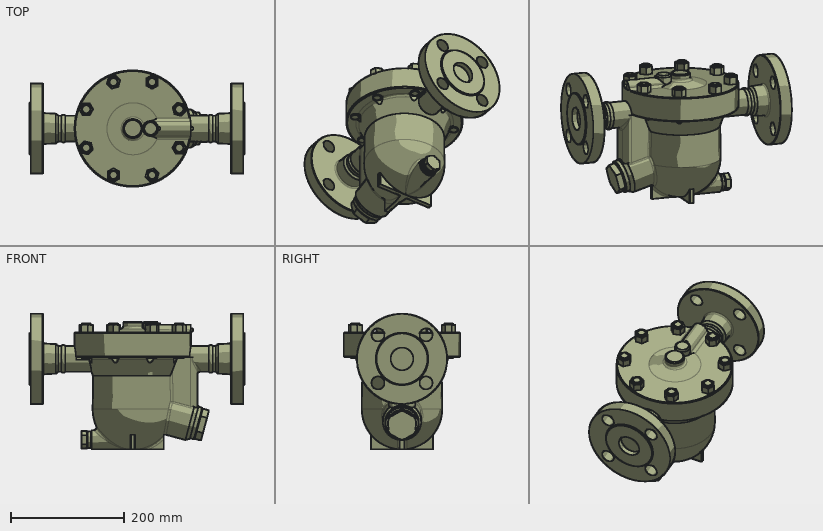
import cadquery as cq
import math


inlet_face_x = -182.5
face_to_face = 380.0
outlet_face_x = inlet_face_x + face_to_face
pipe_flange_diameter = 160.0
pipe_flange_thickness = 22.0
pipe_flange_chamfer = 1.0
raised_face_diameter = 93.0
raised_face_height = 2.0
raised_face_chamfer = 1.5
pipe_bolt_circle = 120.0
pipe_bolt_hole = 23.0
pipe_bolt_count = 4
bore_diameter = 40.0
bore_depth = 10.0
pipe_diameter = 46.0
hub_root_radius = 30.0
hub_radius = 27.5
hub_end_radius = 26.5
hub_fillet = hub_root_radius - hub_radius
hub_end_distance = 46.5
pipe_start_distance = 51.0
bead_start_distance = 56.5
bead_end_distance = 63.0
bead_diameter = 49.5

bowl_diameter = 143.0
base_z = -160.0
sphere_z = base_z + bowl_diameter / 2
neck_bottom_z = -30.0
neck_diameter = 141.0
neck_slope = 20.0
neck_fillet = 5.5
main_flange_diameter = 206.0
main_flange_bottom_z = 3.0
main_flange_chamfer = 2.0
joint_z = 27.0
cover_top_z = 47.0
cover_chamfer = 1.5
pad_end_x = -99.5
pad_half_width = 25.0
pad_bottom_z = -1.7

cover_bolt_circle = 178.0
cover_bolt_count = 8
stud_diameter = 16.0
stud_chamfer = 1.0
stud_top_z = 62.8
stud_bottom_z = 1.0
nut_flats = 21.0
nut_height = 13.2
nut_chamfer = 1.0
nut_turn = 22.5
spot_face_diameter = 20.0
spot_face_bottom_z = -12.0

dome_base_radius = 46.0
dome_top_radius = 21.0
dome_top_z = 53.3
knob_diameter = 34.0
knob_fillet = 5.0
knob_top_z = 66.0
knob_chamfer = 2.0
small_knob_x = 31.5
small_knob_radius = 13.4
small_knob_top_radius = 11.0
small_knob_chamfer_height = 3.0
duct_radius = 13.7
duct_fillet = 6.5
duct_end_x = 102.5
pin_diameter = 6.6
upright_pin_x = 45.2
upright_pin_top_z = 63.0
end_pin_z = 51.2

passage_end_x = 114.4
passage_half_width = 23.3
passage_corner_radius = 12.7
passage_bottom_z = -92.0
passage_pipe_fillet = 5.0
pipe_stub_end_x = 130.0
plug_tilt = 15.0
plug_axis_offset = 5.0
plug_boss_radius = 34.0
plug_boss_length = 104.0
plug_boss_side_fillet = 4.0
plug_boss_root_fillet = 5.0
plug_taper_radius = 30.0
plug_taper_end = 111.0
plug_collar_diameter = 58.0
plug_collar_end = 118.0
plug_neck_diameter = 50.0
plug_head_start = 119.5
plug_head_end = 131.0
plug_head_flats = 48.0
plug_head_chamfer = 1.5

drain_diameter = 34.0
drain_rise = 0.2
drain_z = base_z + drain_diameter / 2 + drain_rise
drain_end_x = -72.5
drain_fillet = 5.0
drain_collar_diameter = 30.0
drain_collar_start_x = -74.5
drain_collar_end_x = -79.5
drain_neck_diameter = 27.0
drain_head_start_x = -81.6
drain_head_end_x = -90.8
drain_head_flats = 27.0
drain_head_chamfer = 1.0

foot_reach = 55.0
foot_thickness = 8.0
foot_edge_chamfer = 1.0
foot_fillet = 5.0
foot_top_z = -131.0


def cylinder_z(diameter, bottom, top, x=0.0):
    return cq.Workplane("XY", origin=(x, 0, bottom)).circle(diameter / 2).extrude(top - bottom)


def hexagon_prism(flats, height, chamfer):
    """Hexagon standing on XY, with its upper corners turned off by a cone."""
    corners = flats * 2 / math.sqrt(3)
    prism = cq.Workplane("XY").polygon(6, corners).extrude(height)
    turned = cq.Workplane("XY").circle(corners / 2).extrude(height)
    turned = turned.faces(">Z").chamfer(chamfer * math.tan(math.radians(30)), chamfer)
    return prism.intersect(turned)


def pipe_end():
    """Flange, hub and pipe pointing along +X from a joint face at X = 0."""
    back = raised_face_height + pipe_flange_thickness
    flange_radius = pipe_flange_diameter / 2
    pipe_radius = pipe_diameter / 2
    bead_middle = (bead_start_distance + bead_end_distance) / 2
    profile = (
        cq.Workplane("XY")
        .lineTo(0, raised_face_diameter / 2 - raised_face_chamfer)
        .lineTo(raised_face_chamfer, raised_face_diameter / 2)
        .lineTo(raised_face_height, raised_face_diameter / 2)
        .lineTo(raised_face_height, flange_radius)
        .lineTo(back - pipe_flange_chamfer, flange_radius)
        .lineTo(back, flange_radius - pipe_flange_chamfer)
        .lineTo(back, hub_root_radius)
        .radiusArc((back + hub_fillet, hub_radius), -hub_fillet)
        .lineTo(hub_end_distance, hub_end_radius)
        .lineTo(pipe_start_distance, pipe_radius)
        .lineTo(bead_start_distance, pipe_radius)
        .threePointArc((bead_middle, bead_diameter / 2), (bead_end_distance, pipe_radius))
        .lineTo(-inlet_face_x, pipe_radius)
        .lineTo(-inlet_face_x, 0)
        .close()
    )
    body = profile.revolve(360, (0, 0, 0), (1, 0, 0))
    face = cq.Workplane("YZ")
    holes = (
        face.polarArray(pipe_bolt_circle / 2, 45, 360, pipe_bolt_count)
        .circle(pipe_bolt_hole / 2)
        .extrude(back)
    )
    bore = face.circle(bore_diameter / 2).extrude(bore_depth)
    return body.cut(holes).cut(bore)


def bowl():
    """Hemispherical bowl with a slightly drafted wall and a neck widening to the main flange."""
    radius = bowl_diameter / 2
    slope = math.radians(neck_slope)
    fillet_start_z = main_flange_bottom_z - neck_fillet * (1 - math.sin(slope))
    fillet_start_radius = neck_diameter / 2 + (fillet_start_z - neck_bottom_z) * math.tan(slope)
    fillet_end_radius = fillet_start_radius + neck_fillet * math.cos(slope)
    profile = (
        cq.Workplane("XZ")
        .moveTo(0, base_z)
        .threePointArc(
            (radius * math.sin(math.pi / 4), sphere_z - radius * math.cos(math.pi / 4)),
            (radius, sphere_z),
        )
        .lineTo(neck_diameter / 2, neck_bottom_z)
        .lineTo(fillet_start_radius, fillet_start_z)
        .radiusArc((fillet_end_radius, main_flange_bottom_z), neck_fillet)
        .lineTo(0, main_flange_bottom_z)
        .close()
    )
    return profile.revolve(360, (0, 0, 0), (0, 1, 0))


def add_drain_stub(vessel):
    stub = cq.Workplane("YZ", origin=(drain_end_x, 0, drain_z)).circle(drain_diameter / 2)
    vessel = vessel.union(stub.extrude(-drain_end_x))
    return vessel.edges("%BSPLINE").fillet(drain_fillet)


def drain_plug():
    plane = cq.Plane(origin=(0, 0, drain_z), xDir=(0, 0, 1), normal=(-1, 0, 0))
    neck = cq.Workplane(plane).circle(drain_neck_diameter / 2).extrude(-drain_head_start_x)
    collar = cq.Workplane(plane).workplane(offset=-drain_collar_start_x)
    collar = collar.circle(drain_collar_diameter / 2).extrude(drain_collar_start_x - drain_collar_end_x)
    head = hexagon_prism(drain_head_flats, drain_head_start_x - drain_head_end_x, drain_head_chamfer)
    head = head.rotate((0, 0, 0), (0, 1, 0), -90).translate((drain_head_start_x, 0, drain_z))
    return neck.union(collar).union(head)


def tilt_onto_plug_axis(shape):
    """Lay a shape built along +Z onto the plug axis, which dips towards +X."""
    dip = math.radians(plug_tilt)
    shift = (plug_axis_offset * math.sin(dip), 0, sphere_z + plug_axis_offset * math.cos(dip))
    return shape.rotate((0, 0, 0), (0, 1, 0), 90 + plug_tilt).translate(shift)


def plug_boss():
    profile = (
        cq.Workplane("XZ")
        .lineTo(plug_boss_radius, 0)
        .lineTo(plug_boss_radius, plug_boss_length)
        .lineTo(plug_taper_radius, plug_taper_end)
        .lineTo(0, plug_taper_end)
        .close()
    )
    return tilt_onto_plug_axis(profile.revolve(360, (0, 0, 0), (0, 1, 0)))


def plug():
    collar = cylinder_z(plug_collar_diameter, 0, plug_collar_end)
    neck = cylinder_z(plug_neck_diameter, 0, plug_head_start)
    head = hexagon_prism(plug_head_flats, plug_head_end - plug_head_start, plug_head_chamfer)
    head = head.translate((0, 0, plug_head_start))
    return tilt_onto_plug_axis(collar.union(neck).union(head))


def outlet_passage():
    """Upright passage below the outlet pipe, joined to the pipe and to the plug boss."""
    passage = (
        cq.Workplane("XY", origin=(passage_end_x / 2, 0, passage_bottom_z))
        .rect(passage_end_x, 2 * passage_half_width)
        .extrude(main_flange_bottom_z - passage_bottom_z)
        .edges("|Z and >X")
        .fillet(passage_corner_radius)
    )
    pipe = cq.Workplane("YZ").circle(pipe_diameter / 2).extrude(pipe_stub_end_x)
    passage = passage.union(pipe)
    passage = passage.edges("%BSPLINE").edges(">X").fillet(passage_pipe_fillet)
    passage = passage.union(plug_boss())
    boss_sides = cq.selectors.BoxSelector(
        (0, -pipe_diameter, passage_bottom_z - plug_boss_radius),
        (passage_end_x, pipe_diameter, neck_bottom_z),
    )
    dip = math.radians(plug_tilt)
    along_boss = cq.selectors.ParallelDirSelector(cq.Vector(math.cos(dip), 0, -math.sin(dip)))
    sides = passage.edges(boss_sides).edges(along_boss)
    return sides.edges("<Y or >Y").fillet(plug_boss_side_fillet)


def add_outlet_passage(vessel):
    vessel = vessel.union(outlet_passage())
    root = cq.selectors.BoxSelector(
        (bowl_diameter / 4, -plug_boss_radius, sphere_z - 2 * plug_boss_radius),
        (plug_boss_length - plug_boss_side_fillet, plug_boss_radius, sphere_z + plug_boss_radius),
    )
    return vessel.edges(root).edges("%BSPLINE").fillet(plug_boss_root_fillet)


def side_foot():
    """Foot towards +X with filleted flanks, together with the strip of bowl it is blended into."""
    overlap = foot_fillet * 2
    foot = (
        cq.Workplane("XY", origin=(foot_reach / 2, 0, base_z - overlap))
        .rect(foot_reach, foot_thickness)
        .extrude(foot_top_z - base_z + overlap)
    )
    blended = bowl().union(foot)
    flanks = cq.selectors.BoxSelector(
        (foot_thickness, -foot_thickness, base_z), (foot_reach, foot_thickness, foot_top_z)
    )
    blended = blended.edges(flanks).edges("%CIRCLE").fillet(foot_fillet)
    strip = cq.Workplane("XY", origin=(foot_reach / 2, 0, base_z))
    strip = strip.rect(foot_reach, foot_thickness + 4 * foot_fillet).extrude(foot_top_z - base_z)
    return blended.intersect(strip)


def feet_across():
    """One bar forming the feet towards +Y and -Y."""
    bar = cq.Workplane("XY", origin=(0, 0, base_z)).rect(foot_thickness, 2 * foot_reach)
    return bar.extrude(foot_top_z - base_z).edges("|Z").chamfer(foot_edge_chamfer)


def cover_and_flange():
    body_flange = cylinder_z(main_flange_diameter, main_flange_bottom_z, joint_z)
    body_flange = body_flange.faces("<Z").chamfer(main_flange_chamfer)
    cover = cylinder_z(main_flange_diameter, joint_z, cover_top_z).faces(">Z").chamfer(cover_chamfer)
    return body_flange.union(cover)


def dome_and_knob():
    radius = knob_diameter / 2
    profile = (
        cq.Workplane("XZ")
        .moveTo(0, joint_z)
        .lineTo(dome_base_radius, joint_z)
        .lineTo(dome_base_radius, cover_top_z)
        .lineTo(dome_top_radius, dome_top_z)
        .radiusArc((radius, dome_top_z + knob_fillet), knob_fillet)
        .lineTo(radius, knob_top_z - knob_chamfer)
        .lineTo(radius - knob_chamfer, knob_top_z)
        .lineTo(0, knob_top_z)
        .close()
    )
    return profile.revolve(360, (0, 0, 0), (0, 1, 0))


def small_knob():
    knob = cylinder_z(2 * small_knob_radius, joint_z, knob_top_z, small_knob_x)
    return knob.faces(">Z").chamfer(
        small_knob_chamfer_height, small_knob_radius - small_knob_top_radius
    )


def cover_duct():
    """Half-round duct along +X, blended into the cover top by concave fillets."""
    foot_y = math.sqrt((duct_radius + duct_fillet) ** 2 - duct_fillet**2)
    share = duct_radius / (duct_radius + duct_fillet)
    tangent_y = foot_y * share
    tangent_z = duct_fillet * share
    section = (
        cq.Workplane("YZ", origin=(small_knob_x, 0, cover_top_z))
        .moveTo(-foot_y, -cover_chamfer)
        .lineTo(-foot_y, 0)
        .radiusArc((-tangent_y, tangent_z), -duct_fillet)
        .threePointArc((0, duct_radius), (tangent_y, tangent_z))
        .radiusArc((foot_y, 0), -duct_fillet)
        .lineTo(foot_y, -cover_chamfer)
        .close()
    )
    duct = section.extrude(duct_end_x - small_knob_x)
    return duct.intersect(cylinder_z(main_flange_diameter, joint_z, knob_top_z))


def cover_pins():
    upright = cylinder_z(pin_diameter, cover_top_z, upright_pin_top_z, upright_pin_x)
    end = cq.Workplane("XY").sphere(pin_diameter / 2).translate((duct_end_x + 1, 0, end_pin_z))
    return upright.union(end)


def around_cover_bolts(shape):
    """Copy a shape standing on the Z axis to every cover bolt position."""
    pitch = 360 / cover_bolt_count
    outermost = shape.translate((cover_bolt_circle / 2, 0, 0))
    copies = cq.Workplane("XY")
    for index in range(cover_bolt_count):
        copies = copies.add(outermost.rotate((0, 0, 0), (0, 0, 1), pitch * (index + 0.5)))
    return copies.combine()


def stud_and_nut():
    stud = cylinder_z(stud_diameter, stud_bottom_z, stud_top_z).faces(">Z or <Z").chamfer(stud_chamfer)
    nut = hexagon_prism(nut_flats, nut_height, nut_chamfer)
    nut = nut.rotate((0, 0, 0), (0, 0, 1), nut_turn).translate((0, 0, cover_top_z))
    return stud.union(nut)


def inlet_pad():
    """Flat pad under the main flange, over the inlet pipe."""
    pad = cq.Workplane("XY", origin=(pad_end_x / 2, 0, pad_bottom_z))
    return pad.rect(-pad_end_x, 2 * pad_half_width).extrude(main_flange_bottom_z - pad_bottom_z)


vessel = add_outlet_passage(add_drain_stub(bowl()))
vessel = vessel.union(side_foot()).union(feet_across()).union(inlet_pad())
spot_face = cylinder_z(spot_face_diameter, spot_face_bottom_z, main_flange_bottom_z)
vessel = vessel.cut(around_cover_bolts(spot_face))

inlet = pipe_end().translate((inlet_face_x, 0, 0))
outlet = pipe_end().mirror("YZ").translate((outlet_face_x, 0, 0))

result = vessel.union(cover_and_flange()).union(inlet).union(outlet)
result = result.union(dome_and_knob()).union(cover_duct()).union(small_knob()).union(cover_pins())
result = result.union(plug()).union(drain_plug()).union(around_cover_bolts(stud_and_nut()))